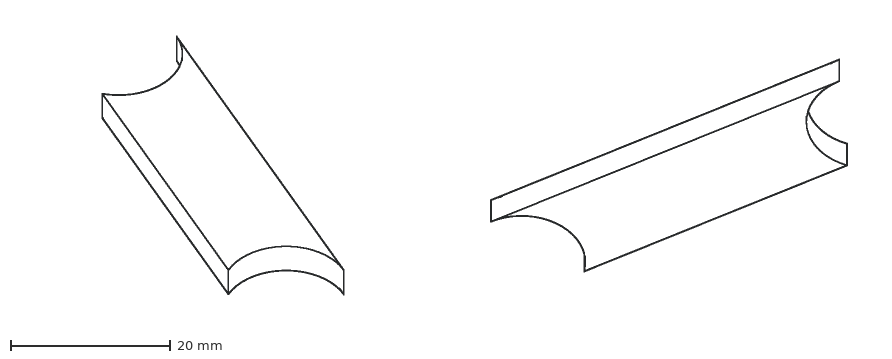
import cadquery as cq
import math

length = 50.0
depth = 13.15
thickness = 4.0
end_radius = 8.0

half_length = length / 2
back_y = depth / 2
front_y = -depth / 2
arc_center_y = back_y - end_radius
front_offset = math.sqrt(end_radius**2 - (arc_center_y - front_y) ** 2)
front_half_length = half_length - front_offset
waist_half_length = half_length - end_radius

result = (
    cq.Workplane("XY")
    .moveTo(-half_length, back_y)
    .lineTo(half_length, back_y)
    .threePointArc((waist_half_length, arc_center_y), (front_half_length, front_y))
    .lineTo(-front_half_length, front_y)
    .threePointArc((-waist_half_length, arc_center_y), (-half_length, back_y))
    .close()
    .extrude(thickness)
)